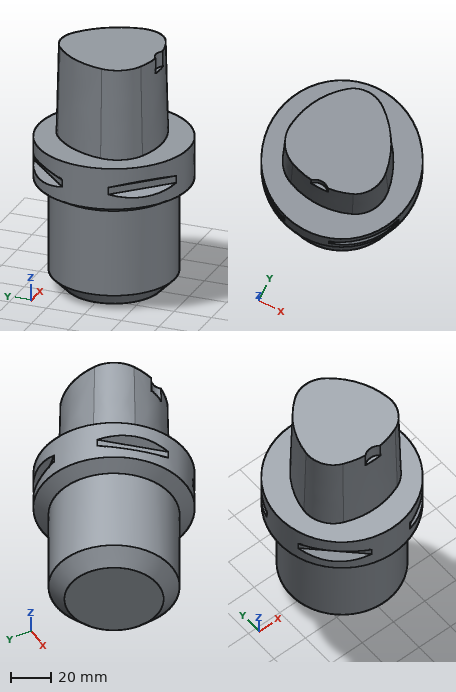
import cadquery as cq
import math

total_height = 128.0
flange_top = 80.0
flange_bottom = 58.1

flange_radius = 80.0 / 2
body_radius = 65.0 / 2
end_chamfer = 8.0
flange_cone_angle = 30.0

notch_count = 4
notch_first_angle = 45.0
notch_height = 68.0
notch_floor_distance = 35.6
notch_floor_width = 3.7
notch_wall_angle = 30.0

lobe_count = 3
lobe_centre_distance = 12.2
lobe_radius = 17.3
flank_distance = 25.5
shank_height = total_height - flange_top
shank_taper = math.degrees(math.atan(1 / 40))

key_radius = 7.0
key_inner_distance = 22.3
key_depth = 8.0


def polar(radius, degrees):
    angle = math.radians(degrees)
    return (radius * math.cos(angle), radius * math.sin(angle))


def make_body():
    cone_height = (flange_radius - body_radius) * math.tan(math.radians(flange_cone_angle))
    profile = [
        (0, 0),
        (body_radius - end_chamfer, 0),
        (body_radius, end_chamfer),
        (body_radius, flange_bottom - cone_height),
        (flange_radius, flange_bottom),
        (flange_radius, flange_top),
        (0, flange_top),
    ]
    return cq.Workplane("XZ").polyline(profile).close().revolve(360, (0, 0), (0, 1))


def make_shank():
    radius_gap = flank_distance - lobe_radius
    flank_centre_distance = (lobe_centre_distance**2 - radius_gap**2) / (
        2 * radius_gap - lobe_centre_distance
    )
    flank_radius = flank_distance + flank_centre_distance
    lobe_pitch = 360 / lobe_count
    half_pitch = lobe_pitch / 2

    lobe_x, lobe_y = polar(lobe_centre_distance, half_pitch)
    flank_half_angle = math.degrees(math.atan2(lobe_y, flank_centre_distance + lobe_x))

    def flank_point(flank_angle, offset):
        centre_x, centre_y = polar(flank_centre_distance, flank_angle + 180)
        arc_x, arc_y = polar(flank_radius, flank_angle + offset)
        return (centre_x + arc_x, centre_y + arc_y)

    first_flank = -90.0
    outline = cq.Workplane("XY", origin=(0, 0, flange_top))
    outline = outline.moveTo(*flank_point(first_flank, -flank_half_angle))
    for index in range(lobe_count):
        flank_angle = first_flank + index * lobe_pitch
        next_flank = flank_angle + lobe_pitch
        lobe_tip = polar(lobe_centre_distance + lobe_radius, flank_angle + half_pitch)
        outline = outline.threePointArc(
            flank_point(flank_angle, 0), flank_point(flank_angle, flank_half_angle)
        )
        outline = outline.threePointArc(lobe_tip, flank_point(next_flank, -flank_half_angle))
    return outline.close().extrude(shank_height, taper=shank_taper)


def make_key_recess():
    return (
        cq.Workplane("XY", origin=(0, 0, total_height - key_depth))
        .center(0, -key_inner_distance - key_radius)
        .circle(key_radius)
        .extrude(key_depth)
    )


def make_notch():
    wall_rise = (flange_radius - notch_floor_distance) * math.tan(math.radians(notch_wall_angle))
    half_floor = notch_floor_width / 2
    half_mouth = half_floor + wall_rise
    section = [
        (notch_floor_distance, notch_height - half_floor),
        (flange_radius, notch_height - half_mouth),
        (flange_radius, notch_height + half_mouth),
        (notch_floor_distance, notch_height + half_floor),
    ]
    return cq.Workplane("XZ").polyline(section).close().extrude(flange_radius, both=True)


result = make_body().union(make_shank()).cut(make_key_recess())
for notch_index in range(notch_count):
    notch_angle = notch_first_angle + notch_index * 360 / notch_count
    result = result.cut(make_notch().rotate((0, 0, 0), (0, 0, 1), notch_angle))